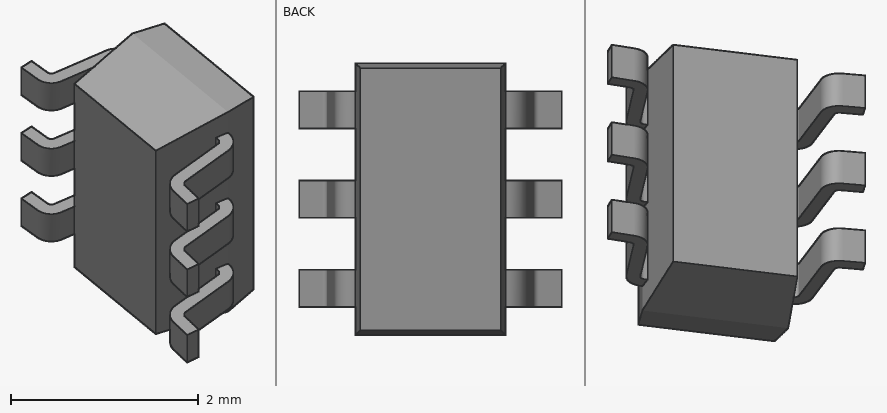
import cadquery as cq
import math

length = 2.9
width = 1.6
overall_height = 1.45
standoff = 0.15
upper_height = 0.4
draft_angle = 7.5
lower_height = overall_height - standoff - upper_height
parting_y = standoff + lower_height

lead_span = 2.8
lead_thickness = 0.15
lead_width = 0.4
lead_pitch = 0.95
leads_per_side = 3
inner_bend_radius = 0.055
outer_bend_radius = inner_bend_radius + lead_thickness
leg_angle = 7.0
foot_tilt = 4.0
foot_length = 0.25


def drafted_block(height, direction):
    """Block on the parting plane that narrows as it rises along direction (+1 or -1 on Y)."""
    plane = cq.Plane(origin=(0, parting_y, 0), xDir=(1, 0, 0), normal=(0, direction, 0))
    return cq.Workplane(plane).rect(width, length).extrude(height, taper=draft_angle)


def make_housing():
    """Moulded housing, widest at the parting plane and drafted towards both ends."""
    upper = drafted_block(upper_height, 1)
    lower = drafted_block(lower_height, -1)
    return upper.union(lower)


def on_circle(center, radius, angle):
    """Point on a circle in the XY plane, at an angle in degrees from +X."""
    x = center[0] + radius * math.cos(math.radians(angle))
    y = center[1] + radius * math.sin(math.radians(angle))
    return (x, y)


def lead_outline():
    """Closed side profile of a lead on the +X side, ending flush on the drafted flank of the housing."""
    foot_normal = 270 - foot_tilt
    leg_normal = 180 + leg_angle
    foot_mid = (leg_normal + foot_normal) / 2
    shoulder_mid = (90 + leg_angle) / 2

    tilt = math.radians(foot_tilt)
    lower_tip = (lead_span / 2 - lead_thickness * math.sin(tilt), 0)
    upper_tip = on_circle(lower_tip, lead_thickness, 90 - foot_tilt)

    foot_start = on_circle(lower_tip, foot_length, 180 - foot_tilt)
    foot_bend = on_circle(foot_start, outer_bend_radius, 90 - foot_tilt)

    lean = math.radians(leg_angle)
    shoulder_y = parting_y - outer_bend_radius
    center_gap = outer_bend_radius + inner_bend_radius
    rise = shoulder_y - foot_bend[1]
    run = (center_gap + rise * math.sin(lean)) / math.cos(lean)
    shoulder_bend = (foot_bend[0] - run, shoulder_y)

    upper_root = (width / 2, parting_y)
    lower_root_x = width / 2 - lead_thickness * math.tan(math.radians(draft_angle))
    lower_root = (lower_root_x, parting_y - lead_thickness)

    return (
        cq.Workplane("XY")
        .moveTo(*upper_root)
        .lineTo(shoulder_bend[0], parting_y)
        .threePointArc(
            on_circle(shoulder_bend, outer_bend_radius, shoulder_mid),
            on_circle(shoulder_bend, outer_bend_radius, leg_angle),
        )
        .lineTo(*on_circle(foot_bend, inner_bend_radius, leg_normal))
        .threePointArc(
            on_circle(foot_bend, inner_bend_radius, foot_mid),
            on_circle(foot_bend, inner_bend_radius, foot_normal),
        )
        .lineTo(*upper_tip)
        .lineTo(*lower_tip)
        .lineTo(*foot_start)
        .threePointArc(
            on_circle(foot_bend, outer_bend_radius, foot_mid),
            on_circle(foot_bend, outer_bend_radius, leg_normal),
        )
        .lineTo(*on_circle(shoulder_bend, inner_bend_radius, leg_angle))
        .threePointArc(
            on_circle(shoulder_bend, inner_bend_radius, shoulder_mid),
            on_circle(shoulder_bend, inner_bend_radius, 90),
        )
        .lineTo(*lower_root)
        .close()
    )


def make_lead(z_center):
    """One lead on the +X side."""
    return lead_outline().extrude(lead_width / 2, both=True).translate((0, 0, z_center))


housing = make_housing()

leads = []
for index in range(leads_per_side):
    z_center = (index - (leads_per_side - 1) / 2) * lead_pitch
    lead = make_lead(z_center)
    leads.append(lead.val())
    leads.append(lead.mirror("YZ").val())

result = cq.Compound.makeCompound([housing.val(), *leads])